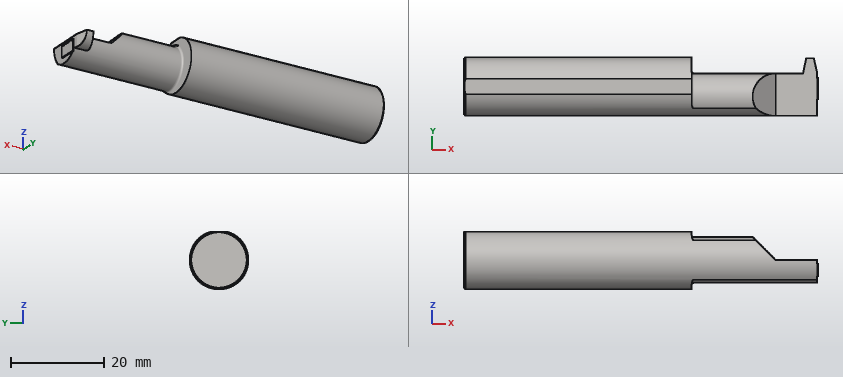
import cadquery as cq

total_length = 76.2
shank_length = 49.0
shank_radius = 6.3
flat_height = 6.1
end_chamfer = 0.4

neck_radius = 4.95
neck_offset = -2.1
root_fillet = 0.45
front_pad = 0.2
neck_end = total_length - front_pad

rake_start = 67.05
tooth_tip_y = 6.1
tooth_root_x = 72.9
tooth_tip_back_x = 73.6
tooth_tip_front_x = 75.3
tooth_front_base_y = 3.05
relief_radius = 3.05

pad_width = 4.6
pad_height = 2.75
pad_center_y = -0.45
pad_center_z = -2.1


def cylinder_x(radius, length, center_y=0):
    return cq.Workplane("YZ").center(center_y, 0).circle(radius).extrude(length)


def make_shank():
    shank = cylinder_x(shank_radius, shank_length).faces("<X").chamfer(end_chamfer)
    below_flat = cq.Workplane("XY").box(
        shank_length, 2 * shank_radius, flat_height + shank_radius, centered=(False, True, False)
    ).translate((0, 0, -shank_radius))
    return shank.intersect(below_flat)


def make_neck():
    """Eccentric cylinder with a concave fillet against the shoulder."""
    fillet_top = neck_radius + root_fillet
    fillet_end = shank_length + root_fillet
    neck = (
        cq.Workplane("XY")
        .moveTo(0, neck_offset)
        .lineTo(0, neck_offset + fillet_top)
        .lineTo(shank_length, neck_offset + fillet_top)
        .radiusArc((fillet_end, neck_offset + neck_radius), -root_fillet)
        .lineTo(neck_end, neck_offset + neck_radius)
        .lineTo(neck_end, neck_offset)
        .close()
        .revolve(360, (0, neck_offset, 0), (1, neck_offset, 0))
    )
    ahead_of_shoulder = cylinder_x(shank_radius, total_length - shank_length).translate((shank_length, 0, 0))
    return neck.intersect(ahead_of_shoulder)


def make_tooth():
    """Tapered tooth, with its tip relieved along an eccentric cylinder."""
    tooth = (
        cq.Workplane("XY")
        .polyline([
            (tooth_root_x, 0),
            (tooth_root_x, neck_offset + neck_radius),
            (tooth_tip_back_x, tooth_tip_y),
            (tooth_tip_front_x, tooth_tip_y),
            (neck_end, tooth_front_base_y),
            (neck_end, 0),
        ])
        .close()
        .extrude(-neck_radius)
    )
    return tooth.intersect(cylinder_x(relief_radius, total_length, tooth_tip_y - relief_radius))


def make_front_pad():
    return (
        cq.Workplane("YZ", origin=(neck_end, pad_center_y, pad_center_z))
        .rect(pad_width, pad_height)
        .extrude(front_pad)
    )


def make_head_cut():
    """Space above the rake face and its 45 degree run-out."""
    clearance = 2 * shank_radius
    return (
        cq.Workplane("XZ")
        .polyline([
            (rake_start, 0),
            (total_length + clearance, 0),
            (total_length + clearance, clearance),
            (rake_start - clearance, clearance),
        ])
        .close()
        .extrude(clearance, both=True)
    )


head = make_neck().cut(make_head_cut()).union(make_tooth()).union(make_front_pad())
result = make_shank().union(head)